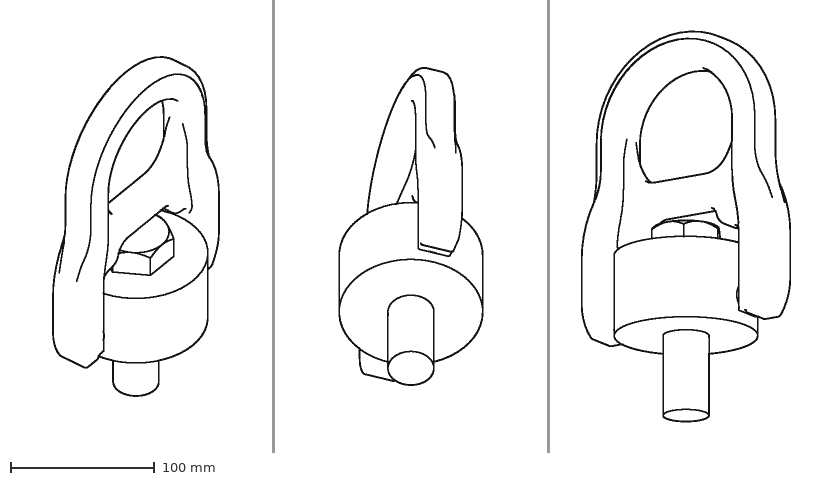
import cadquery as cq
import math


OVERALL_HEIGHT = 274.91
BODY_DIAMETER = 100.0
BODY_HEIGHT = 58.0
STUD_DIAMETER = 32.0
STUD_LENGTH = 57.5
HEX_ACROSS_FLATS = 46.0
HEX_HEIGHT = 19.0

CORE_THICKNESS = 20.0
CORE_FILLET = 4.2
RING_RADIUS = 70.0
HOLE_RADIUS = 45.5
HOLE_CORNER_RADIUS = 20.0
HOLE_FLOOR_Z = 112.5

RIB_THICKNESS = 24.0
RIB_FILLET = 1.8
RIB_OUTER_RADIUS = 64.0
RIB_INNER_BEND_Z = 110.5
RIB_SHOULDER_SPLIT = 0.65

LEG_OUTER_Y = 80.0
LEG_INNER_Y = 51.0
SHOULDER_TOP_Z = 126.2
SHOULDER_END_Z = 64.7
LEG_ROUNDING_Z = 32.2
LEG_ROUNDING_RADIUS = 45.0
TOE_RADIUS = 4.0
LEG_BOTTOM_Z = 5.4
HEEL_BOTTOM_Y = 59.0
HEEL_TOP_Y = 55.0
HEEL_TOP_Z = 8.3

BRIDGE_UNDERSIDE_Z = 88.4
BRIDGE_FLAT_HALF = 20.5
SHELF_Y = 40.0
SHELF_Z = 73.1

PIN_DIAMETER = 20.0
PIN_Z = 20.0
PIN_EMBED = 5.0

RING_TOP_Z = OVERALL_HEIGHT - STUD_LENGTH
RING_CENTRE_Z = RING_TOP_Z - RING_RADIUS


def arc_to(outline, end):
    """Continue the outline with an arc tangent to its last edge."""
    return outline.tangentArcPoint(end, relative=False)


def s_bend(outline, start, end, split=0.5):
    """Continue from start to end with two opposite arcs that meet at the split fraction of the chord."""
    meeting = (
        start[0] + (end[0] - start[0]) * split,
        start[1] + (end[1] - start[1]) * split,
    )
    return arc_to(arc_to(outline, meeting), end)


def symmetric_plate(half_outline, thickness):
    """Mirror an open +Y outline that starts and ends on Y = 0, and extrude it about X = 0."""
    return half_outline.mirrorY().extrude(thickness / 2, both=True)


def inner_contact(centre, radius, small_centre, small_radius):
    """Point where a small circle touches a larger circle from inside."""
    scale = radius / (radius - small_radius)
    return (
        centre[0] + (small_centre[0] - centre[0]) * scale,
        centre[1] + (small_centre[1] - centre[1]) * scale,
    )


def make_hole():
    """Eye of the ring: round at the top, flat floor with rounded corners."""
    corner_z = HOLE_FLOOR_Z + HOLE_CORNER_RADIUS
    corner_y = math.sqrt((HOLE_RADIUS - HOLE_CORNER_RADIUS) ** 2 - (RING_CENTRE_Z - corner_z) ** 2)
    contact = inner_contact((0, RING_CENTRE_Z), HOLE_RADIUS, (corner_y, corner_z), HOLE_CORNER_RADIUS)

    outline = cq.Workplane("YZ").moveTo(-corner_y, HOLE_FLOOR_Z).lineTo(corner_y, HOLE_FLOOR_Z)
    outline = arc_to(outline, contact)
    outline = outline.threePointArc((0, RING_CENTRE_Z + HOLE_RADIUS), (-contact[0], contact[1]))
    outline = arc_to(outline, (-corner_y, HOLE_FLOOR_Z)).close()
    return outline.extrude(RIB_THICKNESS / 2, both=True)


def make_core():
    """Ring, shoulders and bridge as one plate with rounded edges."""
    flat_end = (BRIDGE_FLAT_HALF, BRIDGE_UNDERSIDE_Z)
    shelf = (SHELF_Y, SHELF_Z)
    foot_z = SHELF_Z - (LEG_INNER_Y - SHELF_Y)
    shoulder_end = (LEG_OUTER_Y, SHOULDER_END_Z)
    shoulder_top = (RING_RADIUS, SHOULDER_TOP_Z)

    outline = cq.Workplane("YZ").moveTo(0, BRIDGE_UNDERSIDE_Z).lineTo(*flat_end)
    outline = s_bend(outline, flat_end, shelf)
    outline = arc_to(outline, (LEG_INNER_Y, foot_z))
    outline = outline.lineTo(LEG_OUTER_Y, foot_z).lineTo(*shoulder_end)
    outline = s_bend(outline, shoulder_end, shoulder_top)
    outline = outline.lineTo(RING_RADIUS, RING_CENTRE_Z)
    outline = arc_to(outline, (0, RING_TOP_Z))

    plate = symmetric_plate(outline, CORE_THICKNESS).cut(make_hole())
    return plate.faces("<X or >X").edges().fillet(CORE_FILLET)


def make_rib():
    """Thick band around the top of the eye and down both legs."""
    bend_start = (HOLE_RADIUS, RIB_INNER_BEND_Z)
    bend_end = (LEG_INNER_Y, SHOULDER_END_Z)
    heel_top = (HEEL_TOP_Y, HEEL_TOP_Z)
    heel_bottom = (HEEL_BOTTOM_Y, LEG_BOTTOM_Z)
    shoulder_end = (LEG_OUTER_Y, SHOULDER_END_Z)
    shoulder_top = (RIB_OUTER_RADIUS, SHOULDER_TOP_Z)

    rounding_centre = (LEG_OUTER_Y - LEG_ROUNDING_RADIUS, LEG_ROUNDING_Z)
    toe_z = LEG_BOTTOM_Z + TOE_RADIUS
    toe_reach = math.sqrt((LEG_ROUNDING_RADIUS - TOE_RADIUS) ** 2 - (LEG_ROUNDING_Z - toe_z) ** 2)
    toe_y = rounding_centre[0] + toe_reach
    toe_contact = inner_contact(rounding_centre, LEG_ROUNDING_RADIUS, (toe_y, toe_z), TOE_RADIUS)

    diagonal = HOLE_RADIUS * math.cos(math.radians(45))
    outline = cq.Workplane("YZ").moveTo(0, RING_CENTRE_Z + HOLE_RADIUS)
    outline = outline.threePointArc((diagonal, RING_CENTRE_Z + diagonal), (HOLE_RADIUS, RING_CENTRE_Z))
    outline = outline.lineTo(*bend_start)
    outline = s_bend(outline, bend_start, bend_end)
    outline = outline.lineTo(LEG_INNER_Y, HEEL_TOP_Z).lineTo(*heel_top)
    outline = s_bend(outline, heel_top, heel_bottom)
    outline = outline.lineTo(toe_y, LEG_BOTTOM_Z)
    outline = arc_to(outline, toe_contact)
    outline = arc_to(outline, (LEG_OUTER_Y, LEG_ROUNDING_Z))
    outline = outline.lineTo(*shoulder_end)
    outline = s_bend(outline, shoulder_end, shoulder_top, RIB_SHOULDER_SPLIT)
    outline = outline.lineTo(RIB_OUTER_RADIUS, RING_CENTRE_Z)
    outline = arc_to(outline, (0, RING_CENTRE_Z + RIB_OUTER_RADIUS))

    band = symmetric_plate(outline, RIB_THICKNESS)
    return band.faces("<X or >X").edges().fillet(RIB_FILLET)


def make_hex_head():
    """Hexagon with corners on Y, its top corners turned off by a 45 degree cone."""
    corner_radius = HEX_ACROSS_FLATS / math.sqrt(3)
    flat_radius = HEX_ACROSS_FLATS / 2
    prism = (
        cq.Workplane("XY")
        .workplane(offset=BODY_HEIGHT)
        .polygon(6, 2 * corner_radius)
        .extrude(HEX_HEIGHT)
        .rotate((0, 0, 0), (0, 0, 1), 90)
    )
    turned = (
        cq.Workplane("XY")
        .workplane(offset=BODY_HEIGHT)
        .circle(corner_radius)
        .extrude(HEX_HEIGHT)
        .faces(">Z")
        .chamfer(corner_radius - flat_radius)
    )
    return prism.intersect(turned)


def make_body():
    """Round swivel body with the bolt head above and the stud below."""
    drum = cq.Workplane("XY").circle(BODY_DIAMETER / 2).extrude(BODY_HEIGHT)
    stud = cq.Workplane("XY").circle(STUD_DIAMETER / 2).extrude(-STUD_LENGTH)
    return drum.union(stud).union(make_hex_head())


def make_pins():
    """Two pins along Y, each reaching from inside the body into its leg."""
    pin_start = BODY_DIAMETER / 2 - PIN_EMBED
    pin_end = LEG_INNER_Y + PIN_EMBED
    pin = (
        cq.Workplane("XZ", origin=(0, pin_end, PIN_Z))
        .circle(PIN_DIAMETER / 2)
        .extrude(pin_end - pin_start)
    )
    return pin.union(pin.mirror("XZ"))


bail = make_core().union(make_rib())
result = make_body().union(make_pins()).union(bail)